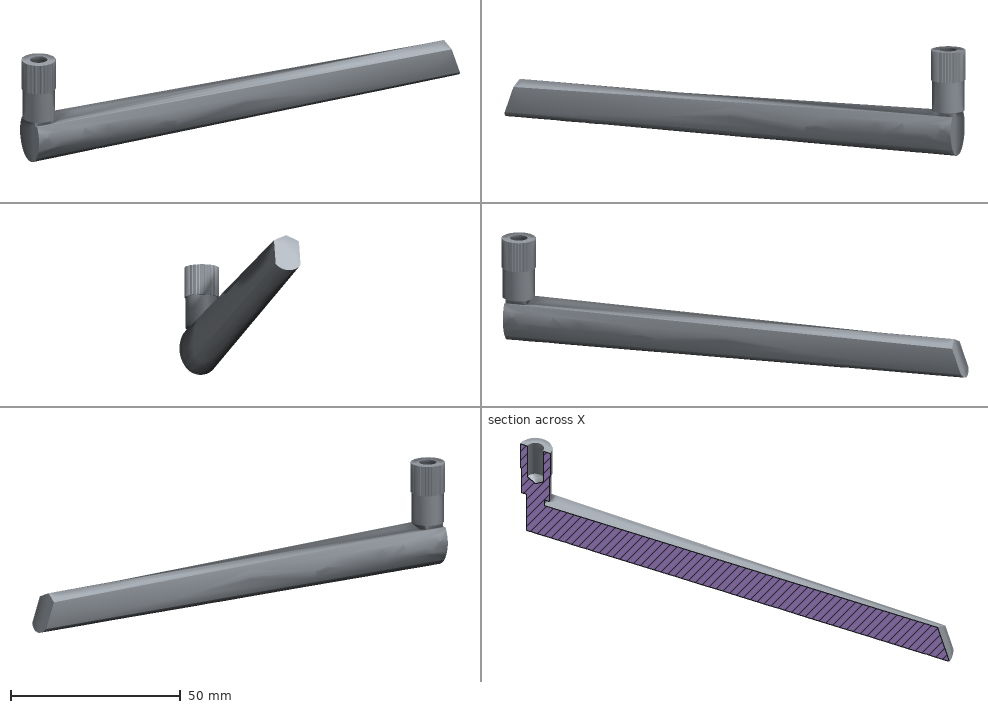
import cadquery as cq
import math

total_height = 31.6
total_length = 143.1

knurl_diameter = 10.2
knurl_depth = 0.1
knurl_teeth = 72
body_diameter = 9.6
body_bottom = 13.5
knurl_bottom = 22.6
bore_diameter = 5.2
bore_depth = 11.5
drill_point_angle = 118.0

neck_width = 7.2
neck_length = 6.0

oval_half_width = 6.2
oval_half_height = 7.7
base_shoulder_height = 12.5
base_valley_height = 11.5
base_corner_angle = 45.0

tip_half_width = 3.7
tip_bottom = 2.1
tip_corner_height = 4.0
tip_side_bulge = 0.03
tip_shoulder_height = 11.7
tip_ridge_height = 13.6
tip_slant_run = 4.0

base_y = -neck_length / 2
tip_y = total_length - knurl_diameter / 2
arm_length = tip_y - base_y


def oval_point(angle):
    """Point (x, z) on the oval, with the angle in radians measured from +X."""
    return oval_half_width * math.cos(angle), oval_half_height * (1 + math.sin(angle))


def mirrored(point):
    return -point[0], point[1]


def arm_section(sketch, roof_height, shoulder, side, corner, bottom):
    """Closed section made of two roof lines, two curved sides and a curved underside."""
    return (
        sketch.moveTo(0, roof_height)
        .lineTo(*shoulder)
        .threePointArc(side, corner)
        .threePointArc((0, bottom), mirrored(corner))
        .threePointArc(mirrored(side), mirrored(shoulder))
        .close()
    )


def make_arm():
    """Tapering arm lofted from the hinge end to the slanted free end."""
    shoulder_angle = math.asin(base_shoulder_height / oval_half_height - 1)
    base = arm_section(
        cq.Workplane("XZ", origin=(0, base_y, 0)),
        base_valley_height,
        oval_point(shoulder_angle),
        oval_point(0),
        oval_point(-math.radians(base_corner_angle)),
        0,
    )
    sections = arm_section(
        base.workplane(offset=-arm_length),
        tip_ridge_height,
        (tip_half_width, tip_shoulder_height),
        (tip_half_width + tip_side_bulge, (tip_shoulder_height + tip_corner_height) / 2),
        (tip_half_width, tip_corner_height),
        tip_bottom,
    )
    arm = sections.loft(ruled=True)

    slant = (
        cq.Workplane("YZ")
        .polyline([
            (tip_y, tip_bottom),
            (tip_y, tip_ridge_height),
            (tip_y - tip_slant_run, tip_ridge_height),
        ])
        .close()
        .extrude(tip_half_width * 2, both=True)
    )
    return arm.cut(slant)


def make_knurl():
    """Cylinder of straight V-shaped teeth around the upper end of the connector."""
    crest = knurl_diameter / 2
    points = []
    for i in range(2 * knurl_teeth):
        radius = crest if i % 2 == 0 else crest - knurl_depth
        angle = math.pi * i / knurl_teeth
        points.append((radius * math.cos(angle), radius * math.sin(angle)))
    return (
        cq.Workplane("XY", origin=(0, 0, knurl_bottom))
        .polyline(points)
        .close()
        .extrude(total_height - knurl_bottom)
    )


def make_bore():
    """Blind hole from the top with a conical drill-point floor."""
    radius = bore_diameter / 2
    floor = total_height - bore_depth
    point_depth = radius / math.tan(math.radians(drill_point_angle / 2))
    return (
        cq.Workplane("XZ")
        .polyline([(0, total_height), (radius, total_height), (radius, floor), (0, floor - point_depth)])
        .close()
        .revolve(360, (0, 0, 0), (0, 1, 0))
    )


def make_connector():
    """Round body with a knurled upper end and a bore."""
    body = (
        cq.Workplane("XY", origin=(0, 0, body_bottom))
        .circle(body_diameter / 2)
        .extrude(total_height - body_bottom)
    )
    body = body.union(make_knurl())
    return body.cut(make_bore())


def make_neck():
    """Block between the arm and the connector, rooted well inside the arm."""
    bottom = base_valley_height / 2
    return (
        cq.Workplane("XY", origin=(0, 0, bottom))
        .rect(neck_width, neck_length)
        .extrude(body_bottom - bottom)
    )


result = make_arm().union(make_neck()).union(make_connector())